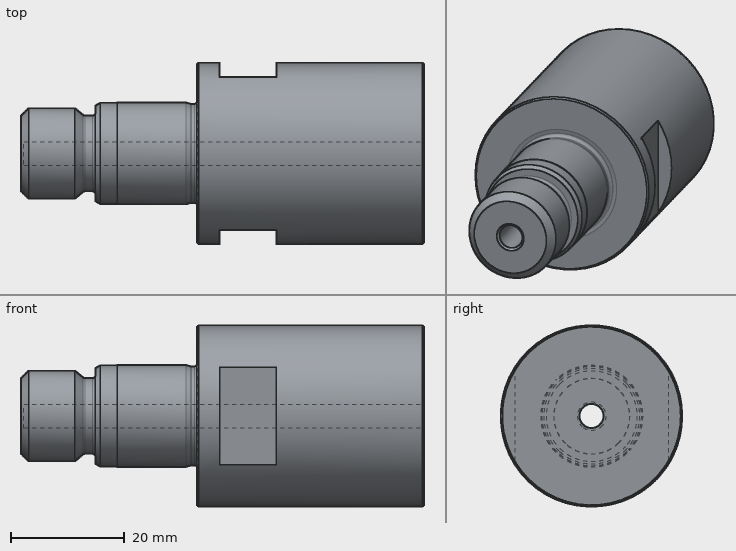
import math

import cadquery as cq

TOTAL_LENGTH = 71.0
SHOULDER_X = 31.0
THREAD_END_X = 9.5
RELIEF_END_X = 13.1
SEAT_START_X = 17.0

THREAD_RADIUS = 8.0
TIP_CHAMFER = 1.35
RELIEF_RADIUS = 6.7
RELIEF_RUNOUT_ANGLE = 40.0
RELIEF_CORNER_RADIUS = 0.5
PILOT_RADIUS = 8.95
PILOT_CHAMFER_LENGTH = 0.9
PILOT_CHAMFER_ANGLE = 30.0
SEAT_RADIUS = 9.0

UNDERCUT_LENGTH = 2.0
UNDERCUT_DEPTH = 0.25
UNDERCUT_TAPER_ANGLE = 15.0
UNDERCUT_CORNER_RADIUS = 0.6
UNDERCUT_FACE_HEIGHT = 1.35
UNDERCUT_FACE_DEPTH = 0.1
UNDERCUT_FACE_ANGLE = 8.0

BODY_RADIUS = 16.0
BODY_CHAMFER = 0.3
FLAT_START_X = 35.0
FLAT_LENGTH = 10.0
ACROSS_FLATS = 27.0

BORE_RADIUS = 2.1
BORE_CHAMFER = 0.4


def tangent_of(angle):
    return math.tan(math.radians(angle))


def corner_arc(profile, center, radius, start_angle, end_angle):
    """Continue the profile to the arc start, then along the arc; angles in degrees."""

    def arc_point(angle):
        turn = math.radians(angle)
        return (center[0] + radius * math.cos(turn), center[1] + radius * math.sin(turn))

    middle_angle = (start_angle + end_angle) / 2
    return profile.lineTo(*arc_point(start_angle)).threePointArc(arc_point(middle_angle), arc_point(end_angle))


def tapered_floor_arc(profile, taper_foot_x, floor_radius, taper_angle, radius):
    """Blend a falling taper tangentially into a groove floor."""
    center_x = taper_foot_x + radius * tangent_of(taper_angle / 2)
    center = (center_x, floor_radius + radius)
    return corner_arc(profile, center, radius, 270 - taper_angle, 270)


def thread_relief(profile):
    """Groove behind the thread: sloped runout, floor and rounded inner corner."""
    runout_length = (THREAD_RADIUS - RELIEF_RADIUS) / tangent_of(RELIEF_RUNOUT_ANGLE)
    profile = tapered_floor_arc(
        profile, THREAD_END_X + runout_length, RELIEF_RADIUS, RELIEF_RUNOUT_ANGLE, RELIEF_CORNER_RADIUS
    )
    corner = (RELIEF_END_X - RELIEF_CORNER_RADIUS, RELIEF_RADIUS + RELIEF_CORNER_RADIUS)
    return corner_arc(profile, corner, RELIEF_CORNER_RADIUS, 270, 360)


def shoulder_undercut(profile):
    """Shallow groove cut into both the seat and the shoulder face."""
    floor_radius = SEAT_RADIUS - UNDERCUT_DEPTH
    start_x = SHOULDER_X - UNDERCUT_LENGTH
    taper_foot_x = start_x + UNDERCUT_DEPTH / tangent_of(UNDERCUT_TAPER_ANGLE)
    deepest_x = SHOULDER_X + UNDERCUT_FACE_DEPTH
    face_taper_height = UNDERCUT_FACE_DEPTH / tangent_of(UNDERCUT_FACE_ANGLE)
    face_top_radius = floor_radius + UNDERCUT_FACE_HEIGHT

    profile = profile.lineTo(start_x, SEAT_RADIUS)
    profile = tapered_floor_arc(
        profile, taper_foot_x, floor_radius, UNDERCUT_TAPER_ANGLE, UNDERCUT_CORNER_RADIUS
    )
    corner = (deepest_x - UNDERCUT_CORNER_RADIUS, floor_radius + UNDERCUT_CORNER_RADIUS)
    profile = corner_arc(profile, corner, UNDERCUT_CORNER_RADIUS, 270, 360)
    profile = profile.lineTo(deepest_x, face_top_radius - face_taper_height)
    return profile.lineTo(SHOULDER_X, face_top_radius)


def turned_body():
    """Spigot and body revolved as one profile about the X axis."""
    pilot_chamfer_height = PILOT_CHAMFER_LENGTH * tangent_of(PILOT_CHAMFER_ANGLE)

    profile = cq.Workplane("XY").moveTo(0, 0).lineTo(0, THREAD_RADIUS - TIP_CHAMFER)
    profile = profile.lineTo(TIP_CHAMFER, THREAD_RADIUS).lineTo(THREAD_END_X, THREAD_RADIUS)
    profile = thread_relief(profile)
    profile = profile.lineTo(RELIEF_END_X, PILOT_RADIUS - pilot_chamfer_height)
    profile = profile.lineTo(RELIEF_END_X + PILOT_CHAMFER_LENGTH, PILOT_RADIUS)
    profile = profile.lineTo(SEAT_START_X, PILOT_RADIUS).lineTo(SEAT_START_X, SEAT_RADIUS)
    profile = shoulder_undercut(profile)
    profile = profile.lineTo(SHOULDER_X, BODY_RADIUS - BODY_CHAMFER)
    profile = profile.lineTo(SHOULDER_X + BODY_CHAMFER, BODY_RADIUS)
    profile = profile.lineTo(TOTAL_LENGTH - BODY_CHAMFER, BODY_RADIUS)
    profile = profile.lineTo(TOTAL_LENGTH, BODY_RADIUS - BODY_CHAMFER).lineTo(TOTAL_LENGTH, 0)
    return profile.close().revolve(360, (0, 0, 0), (1, 0, 0))


def cut_wrench_flats(part):
    """Two parallel flats on the -Y and +Y sides of the body."""
    flat_depth = BODY_RADIUS - ACROSS_FLATS / 2
    cutter = cq.Workplane("XY").box(FLAT_LENGTH, 2 * flat_depth, 2 * BODY_RADIUS)
    for side in (-1, 1):
        part = part.cut(cutter.translate((FLAT_START_X + FLAT_LENGTH / 2, side * BODY_RADIUS, 0)))
    return part


def cut_bore(part):
    """Through bore with a chamfered mouth at the spigot tip."""
    bore = (
        cq.Workplane("XY")
        .moveTo(0, 0)
        .lineTo(0, BORE_RADIUS + BORE_CHAMFER)
        .lineTo(BORE_CHAMFER, BORE_RADIUS)
        .lineTo(TOTAL_LENGTH, BORE_RADIUS)
        .lineTo(TOTAL_LENGTH, 0)
        .close()
        .revolve(360, (0, 0, 0), (1, 0, 0))
    )
    return part.cut(bore)


result = cut_bore(cut_wrench_flats(turned_body()))